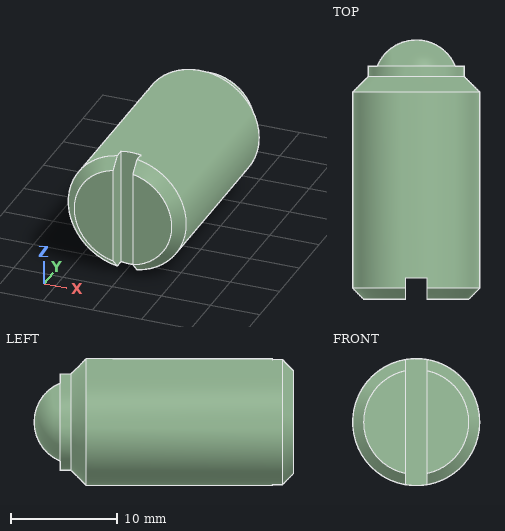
import cadquery as cq
import math

body_diameter = 12.0
body_length = 22.0
slot_chamfer = 1.05
collar_diameter = 9.1
collar_length = 1.0
slot_width = 2.0
slot_depth = 2.0
ball_diameter = 8.0
ball_protrusion = 2.47

body_radius = body_diameter / 2
collar_radius = collar_diameter / 2
ball_radius = ball_diameter / 2
collar_start = body_length - collar_length
shoulder_start = collar_start - (body_radius - collar_radius)
tip = body_length + ball_protrusion
ball_center = tip - ball_radius


def plunger_body():
    """Revolve the body, collar and ball cap about the Y axis."""
    rim_angle = math.asin((body_length - ball_center) / ball_radius)
    middle_angle = (rim_angle + math.pi / 2) / 2
    ball_at_rim = (ball_radius * math.cos(rim_angle), body_length)
    ball_middle = (
        ball_radius * math.cos(middle_angle),
        ball_center + ball_radius * math.sin(middle_angle),
    )
    profile = (
        cq.Workplane("XY")
        .moveTo(0, 0)
        .lineTo(body_radius - slot_chamfer, 0)
        .lineTo(body_radius, slot_chamfer)
        .lineTo(body_radius, shoulder_start)
        .lineTo(collar_radius, collar_start)
        .lineTo(collar_radius, body_length)
        .lineTo(*ball_at_rim)
        .threePointArc(ball_middle, (0, tip))
        .close()
    )
    return profile.revolve(360, (0, 0, 0), (0, 1, 0))


def driver_slot():
    """Straight screwdriver slot, open across the full diameter along Z."""
    return cq.Workplane("XY").box(
        slot_width, slot_depth, body_diameter, centered=(True, False, True)
    )


result = plunger_body().cut(driver_slot())